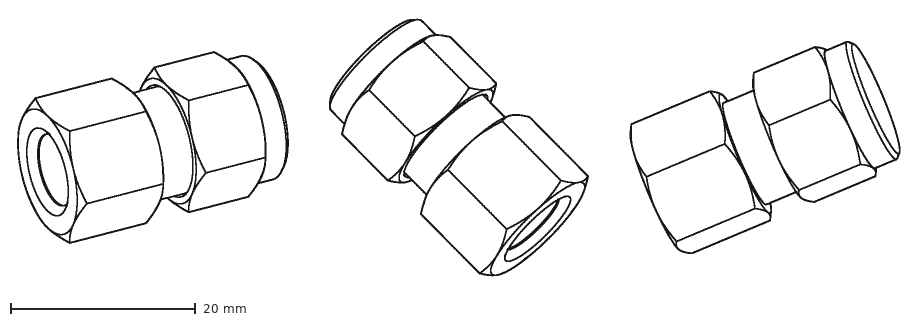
import cadquery as cq
import math

across_flats = 14.0
across_corners = across_flats / math.cos(math.radians(30))
total_length = 26.0
nut_length = 10.53
body_hex_start = 14.5
body_hex_end = 23.0
neck_radius = 5.98
recess_radius = 6.25
recess_depth = 1.05
collar_radius = 6.92
collar_chamfer = 0.47
corner_chamfer_angle = 30.0
socket_mouth_radius = 4.9
socket_floor_radius = 4.0
socket_cone_depth = 0.88
socket_depth = 1.05


def cylinder(radius, start, end):
    """Solid cylinder along Y from start to end."""
    return cq.Workplane("XZ", origin=(0, start, 0)).circle(radius).extrude(start - end)


def bevelled_hex(start, end):
    """Hexagonal prism along Y with its corners turned off at both ends."""
    prism = (
        cq.Workplane("XZ", origin=(0, start, 0))
        .polygon(6, across_corners)
        .extrude(start - end)
    )
    flat_radius = across_flats / 2
    corner_radius = across_corners / 2
    bevel = (corner_radius - flat_radius) * math.tan(math.radians(corner_chamfer_angle))
    envelope = (
        cq.Workplane("XY")
        .polyline([
            (0, start),
            (flat_radius, start),
            (corner_radius, start + bevel),
            (corner_radius, end - bevel),
            (flat_radius, end),
            (0, end),
        ])
        .close()
        .revolve(360, (0, 0, 0), (0, 1, 0))
    )
    return prism.intersect(envelope)


def socket():
    """Blind socket in the front face with a conical mouth."""
    return (
        cq.Workplane("XY")
        .polyline([
            (0, 0),
            (socket_mouth_radius, 0),
            (socket_floor_radius, socket_cone_depth),
            (socket_floor_radius, socket_depth),
            (0, socket_depth),
        ])
        .close()
        .revolve(360, (0, 0, 0), (0, 1, 0))
    )


nut = bevelled_hex(0, nut_length)
recess_end = body_hex_start + recess_depth
neck = cylinder(neck_radius, nut_length, recess_end)
recess = cylinder(recess_radius, body_hex_start, recess_end)
body_hex = bevelled_hex(body_hex_start, body_hex_end).cut(recess)
collar = cylinder(collar_radius, body_hex_end, total_length).faces(">Y").chamfer(collar_chamfer)

result = nut.union(neck).union(body_hex).union(collar).cut(socket())